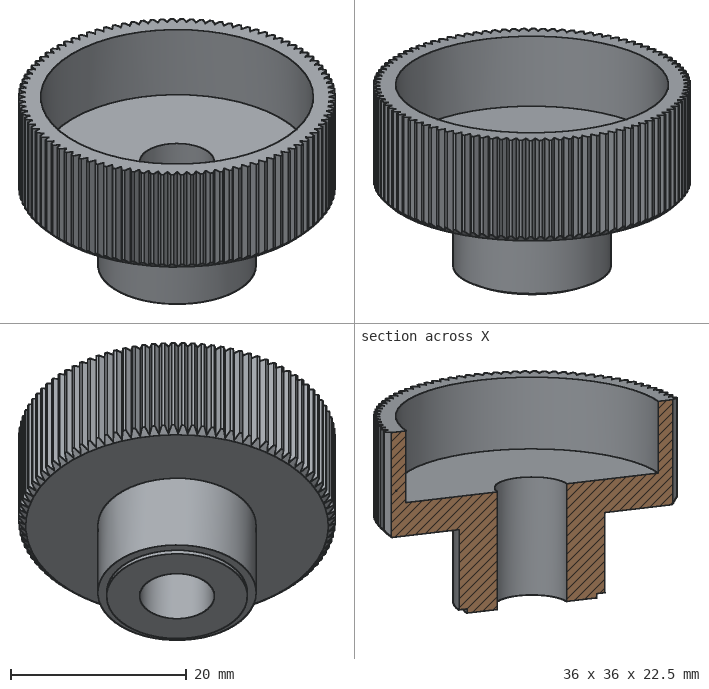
import cadquery as cq
import math

total_height = 22.5
wheel_diameter = 36.0
wheel_height = 12.5
wheel_bottom = total_height - wheel_height
wheel_chamfer = 0.8

recess_diameter = 31.0
recess_depth = 8.5
bore_diameter = 8.5

hub_diameter = 18.0
foot_diameter = 16.0
foot_height = 0.5

groove_count = 100
groove_width = 0.8
groove_angle = 60.0
groove_depth = groove_width / 2 / math.tan(math.radians(groove_angle / 2))


def knurl_outline():
    """Closed wheel outline: V-grooves separated by arcs on the outer diameter."""
    outer_radius = wheel_diameter / 2
    half_groove = math.asin(groove_width / wheel_diameter)
    root_radius = outer_radius * math.cos(half_groove) - groove_depth
    pitch = 2 * math.pi / groove_count

    def polar(radius, angle):
        return (radius * math.cos(angle), radius * math.sin(angle))

    outline = cq.Workplane("XY").workplane(offset=wheel_bottom).moveTo(*polar(root_radius, 0))
    for groove in range(groove_count):
        start = groove * pitch
        land_start = polar(outer_radius, start + half_groove)
        land_middle = polar(outer_radius, start + pitch / 2)
        land_end = polar(outer_radius, start + pitch - half_groove)
        outline = outline.lineTo(*land_start).threePointArc(land_middle, land_end)
        if groove < groove_count - 1:
            outline = outline.lineTo(*polar(root_radius, start + pitch))
    return outline.close()


def chamfered_blank():
    """Plain disc with a chamfered lower edge."""
    disc = cq.Workplane("XY").workplane(offset=wheel_bottom).circle(wheel_diameter / 2).extrude(wheel_height)
    return disc.faces("<Z").edges().chamfer(wheel_chamfer)


def wheel():
    """Knurled wheel with the chamfer running across the teeth at the bottom."""
    return knurl_outline().extrude(wheel_height).intersect(chamfered_blank())


def hub():
    """Cylindrical hub with its narrower foot."""
    foot = cq.Workplane("XY").circle(foot_diameter / 2).extrude(wheel_bottom)
    body_height = wheel_bottom - foot_height
    body = cq.Workplane("XY").workplane(offset=foot_height).circle(hub_diameter / 2).extrude(body_height)
    return foot.union(body)


def recess():
    """Cylinder removed from the top of the wheel."""
    floor = total_height - recess_depth
    return cq.Workplane("XY").workplane(offset=floor).circle(recess_diameter / 2).extrude(recess_depth)


def bore():
    """Cylinder removed along the axis through the whole part."""
    return cq.Workplane("XY").circle(bore_diameter / 2).extrude(total_height)


result = wheel().union(hub()).cut(recess()).cut(bore())